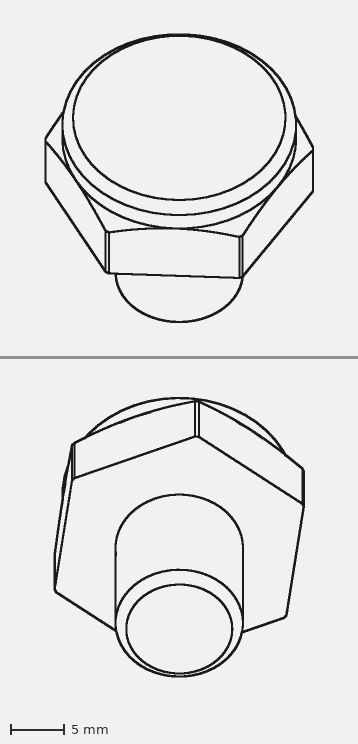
import cadquery as cq
import math

side_count = 6
half_sector_angle = 180 / side_count
across_flats = 22.0
corner_diameter = 25.2
hex_height = 7.0
corner_bevel_angle = 30.0
disc_diameter = across_flats
disc_height = 3.0
shank_diameter = 12.0
shank_length = 13.99
edge_chamfer = 1.0


def make_hex_head():
    """Hexagon with flats facing +/-X, its corners turned round and bevelled on top."""
    sharp_corner_diameter = across_flats / math.cos(math.radians(half_sector_angle))
    hexagon = (
        cq.Workplane("XY")
        .polygon(side_count, sharp_corner_diameter)
        .extrude(hex_height)
        .rotate((0, 0, 0), (0, 0, 1), half_sector_angle)
    )
    bevel_width = (corner_diameter - across_flats) / 2
    bevel_drop = bevel_width * math.tan(math.radians(corner_bevel_angle))
    turned_blank = (
        cq.Workplane("XZ")
        .lineTo(corner_diameter / 2, 0)
        .lineTo(corner_diameter / 2, hex_height - bevel_drop)
        .lineTo(across_flats / 2, hex_height)
        .lineTo(0, hex_height)
        .close()
        .revolve(360, (0, 0, 0), (0, 1, 0))
    )
    return hexagon.intersect(turned_blank)


def make_disc():
    """Round cap on the hexagon with a chamfered top rim."""
    return (
        cq.Workplane("XY")
        .workplane(offset=hex_height)
        .circle(disc_diameter / 2)
        .extrude(disc_height)
        .faces(">Z")
        .chamfer(edge_chamfer)
    )


def make_shank():
    """Plain shank below the head with a chamfered tip."""
    return (
        cq.Workplane("XY")
        .circle(shank_diameter / 2)
        .extrude(-shank_length)
        .faces("<Z")
        .chamfer(edge_chamfer)
    )


result = make_hex_head().union(make_disc()).union(make_shank())